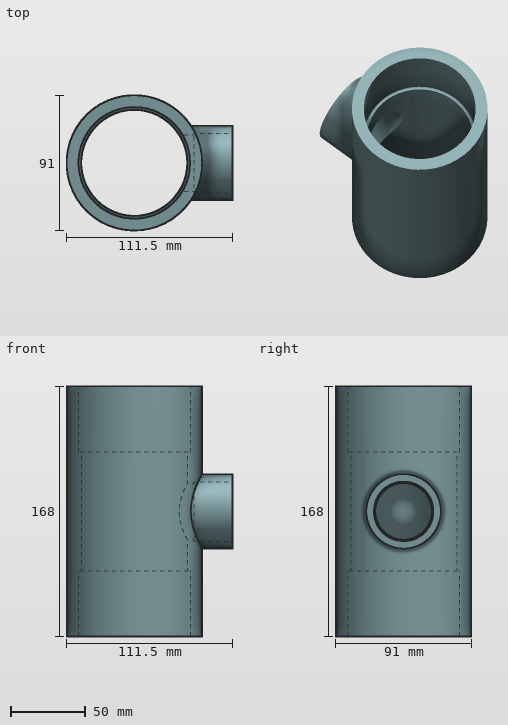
import cadquery as cq

run_length = 168.0
run_outer_diameter = 91.0
run_bore_diameter = 71.0
run_socket_diameter = 75.0
run_socket_depth = 44.0

branch_reach = 66.0
branch_outer_diameter = 50.0
branch_bore_diameter = 38.0
branch_socket_diameter = 40.0
branch_socket_depth = 26.0


def run_cylinder(diameter, start, length):
    """Cylinder on the main axis, rising from height start."""
    return cq.Workplane("XY").workplane(offset=start).circle(diameter / 2).extrude(length)


def branch_cylinder(diameter, start, length):
    """Cylinder on the branch axis, running outward from distance start."""
    return cq.Workplane("YZ").workplane(offset=start).circle(diameter / 2).extrude(length)


def outer_body():
    run = run_cylinder(run_outer_diameter, -run_length / 2, run_length)
    branch = branch_cylinder(branch_outer_diameter, 0, branch_reach)
    return run.union(branch)


def run_cavity():
    bore = run_cylinder(run_bore_diameter, -run_length / 2, run_length)
    for start in (-run_length / 2, run_length / 2 - run_socket_depth):
        bore = bore.union(run_cylinder(run_socket_diameter, start, run_socket_depth))
    return bore


def branch_cavity():
    bore = branch_cylinder(branch_bore_diameter, 0, branch_reach)
    socket_start = branch_reach - branch_socket_depth
    return bore.union(branch_cylinder(branch_socket_diameter, socket_start, branch_socket_depth))


result = outer_body().cut(run_cavity()).cut(branch_cavity())